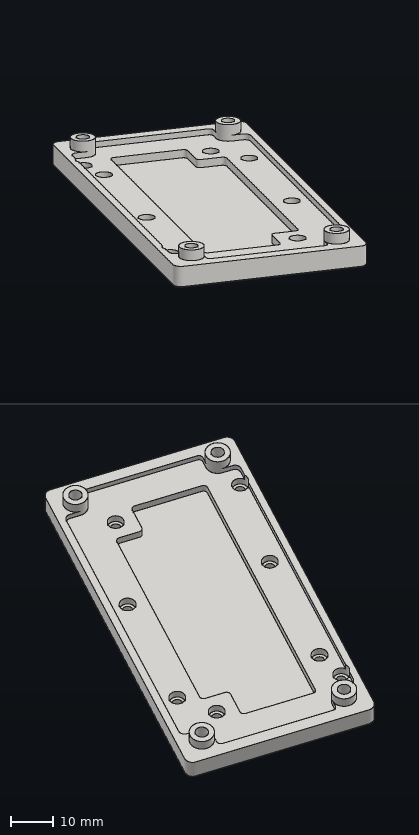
import cadquery as cq

LENGTH = 92.0
WIDTH = 48.0
PLATE_HEIGHT = 5.3
TOTAL_HEIGHT = 8.0
PLATE_CORNER_RADIUS = 2.0
BOTTOM_CHAMFER = 0.3

BOSS_DIAMETER = 6.0
BOSS_HOLE_DIAMETER = 3.1
BOSS_X = 40.0
BOSS_Y = 18.0
BOSS_RADIUS = BOSS_DIAMETER / 2

RECESS_LENGTH = 85.9
RECESS_WIDTH = 44.25
RECESS_DEPTH = 1.5
RECESS_FLOOR = PLATE_HEIGHT - RECESS_DEPTH
RECESS_SIDE_CORNER_RADIUS = 1.5
RECESS_END_CORNER_RADIUS = 1.0

POCKET_LENGTH = 70.1
POCKET_NECK_LENGTH = 54.3
POCKET_HALF_WIDTH = 13.1
POCKET_SHOULDER_Y = 6.0
POCKET_DEPTH = 2.0
POCKET_CORNER_RADIUS = 1.0
POCKET_FLOOR = RECESS_FLOOR - POCKET_DEPTH

SCREW_HOLE_DIAMETER = 2.4
COUNTERBORE_DIAMETER = 4.0
COUNTERBORE_DEPTH = 2.0
COUNTERBORE_FLOOR = RECESS_FLOOR - COUNTERBORE_DEPTH
INNER_SCREW_X = (-24.5, 7.0)
OUTER_SCREW_X = 32.0
OUTER_SCREW_Y = (11.0, -20.5)

BOSS_POINTS = [(x, y) for x in (-BOSS_X, BOSS_X) for y in (-BOSS_Y, BOSS_Y)]
INNER_SCREW_POINTS = [(x, y) for x in INNER_SCREW_X for y in (-BOSS_Y, BOSS_Y)]
OUTER_SCREW_POINTS = [(x, y) for x in (-OUTER_SCREW_X, OUTER_SCREW_X) for y in OUTER_SCREW_Y]


def rounded_block(length, width, bottom, top, radius):
    """Upright block centred on the Z axis, with rounded vertical edges."""
    block = cq.Workplane("XY").workplane(offset=bottom).rect(length, width).extrude(top - bottom)
    return block.edges("|Z").fillet(radius)


def cylinders(points, diameter, bottom, top):
    """Upright cylinders at the given points."""
    plane = cq.Workplane("XY").workplane(offset=bottom)
    return plane.pushPoints(points).circle(diameter / 2).extrude(top - bottom)


def make_plate():
    plate = rounded_block(LENGTH, WIDTH, 0, PLATE_HEIGHT, PLATE_CORNER_RADIUS)
    return plate.faces("<Z").edges().chamfer(BOTTOM_CHAMFER)


def make_recess():
    """Two crossed blocks; the inner corners of the cross follow the boss walls."""
    narrow_length = 2 * (BOSS_X - BOSS_RADIUS)
    narrow_width = 2 * (BOSS_Y - BOSS_RADIUS)
    wide = rounded_block(RECESS_LENGTH, narrow_width, RECESS_FLOOR, PLATE_HEIGHT, RECESS_END_CORNER_RADIUS)
    tall = rounded_block(narrow_length, RECESS_WIDTH, RECESS_FLOOR, PLATE_HEIGHT, RECESS_SIDE_CORNER_RADIUS)
    cross = wide.union(tall)
    inner_corners = cq.selectors.BoxSelector(
        (-BOSS_X, -BOSS_Y, 0), (BOSS_X, BOSS_Y, TOTAL_HEIGHT)
    )
    return cross.edges("|Z").edges(inner_corners).fillet(BOSS_RADIUS)


def make_pocket():
    half_length = POCKET_LENGTH / 2
    half_neck = POCKET_NECK_LENGTH / 2
    outline = [
        (-half_length, -POCKET_HALF_WIDTH),
        (half_length, -POCKET_HALF_WIDTH),
        (half_length, POCKET_SHOULDER_Y),
        (half_neck, POCKET_SHOULDER_Y),
        (half_neck, POCKET_HALF_WIDTH),
        (-half_neck, POCKET_HALF_WIDTH),
        (-half_neck, POCKET_SHOULDER_Y),
        (-half_length, POCKET_SHOULDER_Y),
    ]
    pocket = cq.Workplane("XY").workplane(offset=POCKET_FLOOR).polyline(outline).close()
    return pocket.extrude(POCKET_DEPTH).edges("|Z").fillet(POCKET_CORNER_RADIUS)


screw_points = INNER_SCREW_POINTS + OUTER_SCREW_POINTS
result = make_plate().cut(make_recess()).cut(make_pocket())
result = result.union(cylinders(BOSS_POINTS, BOSS_DIAMETER, RECESS_FLOOR, TOTAL_HEIGHT))
result = result.cut(cylinders(BOSS_POINTS, BOSS_HOLE_DIAMETER, 0, TOTAL_HEIGHT))
result = result.cut(cylinders(screw_points, SCREW_HOLE_DIAMETER, 0, PLATE_HEIGHT))
result = result.cut(cylinders(screw_points, COUNTERBORE_DIAMETER, COUNTERBORE_FLOOR, PLATE_HEIGHT))